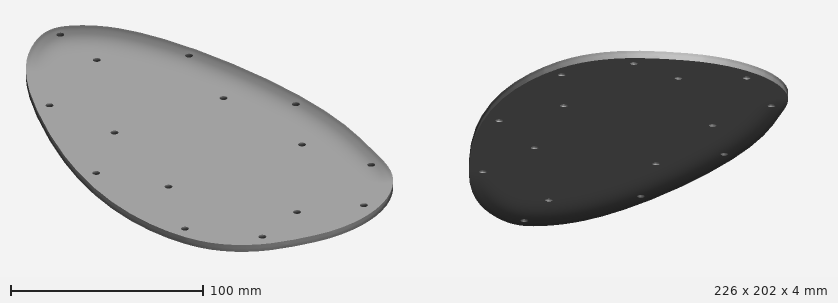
import cadquery as cq

THICKNESS = 4.0
HALF_LENGTH = 113.0
HALF_WIDTH = 101.0

HOLE_DIAMETER = 4.0

OUTLINE_POINTS = [
    (90.2, -76.2),
    (103.5, -59.5),
    (HALF_LENGTH, -26.0),
    (106.5, 0.0),
    (92.7, 16.5),
    (68.5, 39.5),
    (36.0, 62.2),
    (-15.4, 86.5),
    (-57.2, 99.0),
    (-76.9, HALF_WIDTH),
    (-97.2, 97.5),
    (-108.0, 90.5),
    (-HALF_LENGTH, 72.3),
    (-106.2, 38.7),
    (-86.1, 0.0),
    (-53.5, -45.0),
    (-14.2, -81.0),
    (17.0, -96.8),
    (40.7, -HALF_WIDTH),
    (65.0, -95.0),
]

EDGE_HOLES = [
    (-102.9, 85.0),
    (-32.3, 84.8),
    (36.6, 53.1),
    (94.0, 4.0),
    (104.0, -38.0),
    (64.5, -86.4),
    (23.5, -90.9),
    (-38.9, -49.0),
    (-84.5, 11.8),
]

INNER_HOLES = [
    (-76.5, 65.3),
    (-1.1, 47.5),
    (53.1, 13.3),
    (73.2, -55.8),
    (1.4, -51.0),
    (-43.5, -5.2),
]


def make_plate():
    """Flat plate bounded by one smooth closed curve."""
    outline = cq.Workplane("XY").spline(OUTLINE_POINTS, periodic=True).close()
    return outline.extrude(THICKNESS)


def drill_holes(plate, centers):
    """Drill a through hole at each center, measured from the plate origin."""
    top = plate.faces(">Z").workplane(origin=(0, 0, THICKNESS))
    return top.pushPoints(centers).hole(HOLE_DIAMETER)


result = drill_holes(make_plate(), EDGE_HOLES + INNER_HOLES)